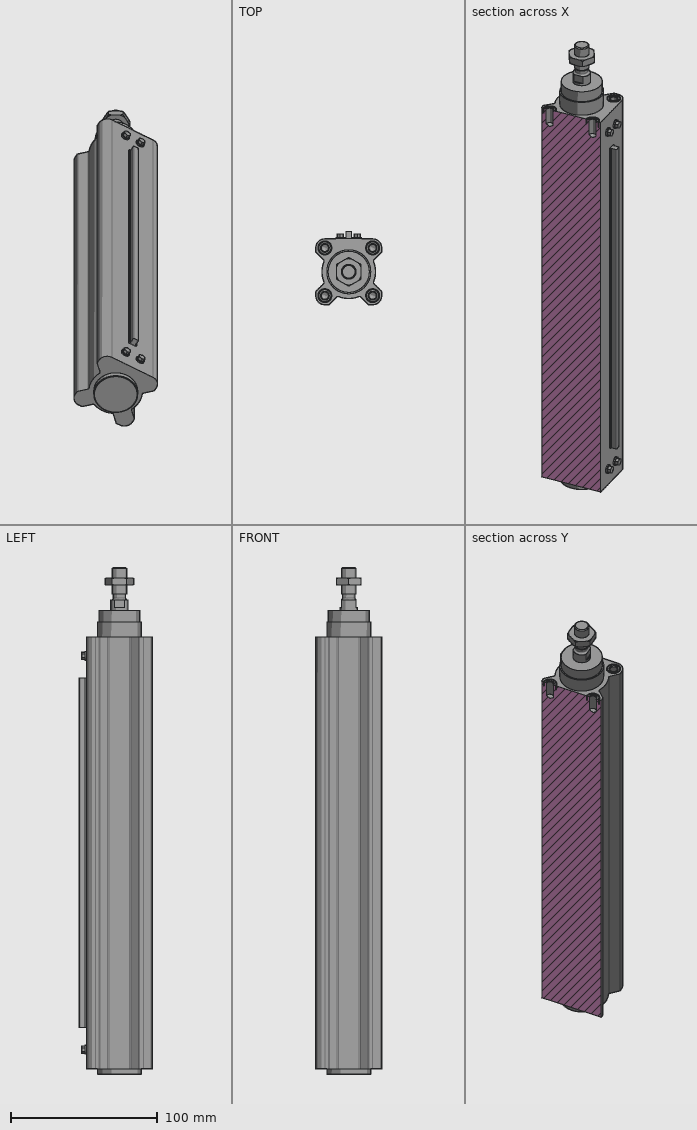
import cadquery as cq
import math


barrel_length = 294.0
barrel_width = 45.0
corner_radius = 6.25
waist_radius = 18.3
rib_gap = 26.8
rib_edge_fillet = 1.0
waist_fillet = 1.0

spigot_diameter = 30.0
bottom_spigot_height = 4.0
bottom_spigot_chamfer = 0.5
top_spigot_height = 10.2
collar_diameter = 28.0
collar_height = 7.8

bolt_recess_diameter = 9.5
bolt_recess_depth = 4.0
bolt_head_diameter = 9.0
bolt_head_chamfer = 0.4
bolt_hole_diameter = 4.92
bolt_hole_mouth_diameter = 6.0
bolt_hole_depth = 12.0
drill_point_angle = 118.0

rail_width = 4.0
rail_height = 5.0
rail_end_gap = 28.0
rail_fillet = 0.5
rail_base_width = 6.0
rail_base_height = 1.0
screw_spacing = 11.6
screw_end_gap = 13.0
screw_base_diameter = 6.0
screw_base_height = 1.0
screw_head_corners = 5.0
screw_height = 3.3

total_height = 345.1
rod_diameter = 12.0
rod_flat_width = 10.0
rod_flat_clearance = 1.8
neck_diameter = 8.57
neck_length = 4.0
neck_fillet = 1.2
thread_diameter = 10.0
thread_length = 22.0
thread_tip_chamfer = 0.7

nut_width = 17.0
nut_height = 5.0
nut_below_tip = 7.0
nut_face_diameter = 17.8
nut_chamfer_angle = 30.0

half_width = barrel_width / 2
bolt_pitch = barrel_width - 2 * corner_radius
collar_base = barrel_length + top_spigot_height
collar_top = collar_base + collar_height
rod_tip = total_height - bottom_spigot_height
shoulder_z = rod_tip - thread_length
nut_base = rod_tip - nut_below_tip - nut_height


def disc(diameter, bottom, height):
    """Upright cylinder on the rod axis."""
    return cq.Workplane("XY", origin=(0, 0, bottom)).circle(diameter / 2).extrude(height)


def flank_recess():
    """Cutter for the -Y flank: 45 degree rib flanks leading to the round waist."""
    half_gap = rib_gap / 2
    offset = half_width - half_gap
    meet_x = (math.sqrt(2 * waist_radius**2 - offset**2) - offset) / 2
    meet_y = meet_x + offset
    return (
        cq.Workplane("XY")
        .moveTo(-half_gap, -half_width)
        .lineTo(-meet_x, -meet_y)
        .threePointArc((0, -waist_radius), (meet_x, -meet_y))
        .lineTo(half_gap, -half_width)
        .close()
        .extrude(barrel_length)
        .edges("|Z and (not <Y)")
        .fillet(waist_fillet)
    )


def barrel():
    """Square barrel with a flat +Y face; the other three sides have a recessed flank."""
    body = (
        cq.Workplane("XY")
        .rect(barrel_width, barrel_width)
        .extrude(barrel_length)
        .edges("|Z")
        .fillet(corner_radius)
    )
    recess = flank_recess()
    for angle in (0, 90, -90):
        body = body.cut(recess.rotate((0, 0, 0), (0, 0, 1), angle))
    half_gap = rib_gap / 2
    rib_edges = [(sign * half_gap, -half_width) for sign in (-1, 1)]
    rib_edges += [(side * half_width, sign * half_gap) for side in (-1, 1) for sign in (-1, 1)]
    for x, y in rib_edges:
        edge = cq.selectors.NearestToPointSelector((x, y, barrel_length / 2))
        body = body.edges(edge).fillet(rib_edge_fillet)
    return body


def bolt_cavity():
    """Space around one bolt in a top face at Z = 0: the ring round its head and its blind hole."""
    recess = disc(bolt_recess_diameter, -bolt_recess_depth, bolt_recess_depth)
    head = disc(bolt_head_diameter, -bolt_recess_depth, bolt_recess_depth)
    head = head.faces(">Z").chamfer(bolt_head_chamfer)
    hole_radius = bolt_hole_diameter / 2
    mouth_radius = bolt_hole_mouth_diameter / 2
    mouth_depth = mouth_radius - hole_radius
    point_depth = hole_radius / math.tan(math.radians(drill_point_angle / 2))
    hole = (
        cq.Workplane("XZ")
        .moveTo(0, 0)
        .lineTo(mouth_radius, 0)
        .lineTo(hole_radius, -mouth_depth)
        .lineTo(hole_radius, -bolt_hole_depth)
        .lineTo(0, -bolt_hole_depth - point_depth)
        .close()
        .revolve(360, (0, 0, 0), (0, 1, 0))
    )
    return recess.cut(head).union(hole)


def rail_bar(width, height):
    """Bar along the middle of the flat face."""
    return (
        cq.Workplane("XY", origin=(0, half_width + height / 2, rail_end_gap))
        .rect(width, height)
        .extrude(barrel_length - 2 * rail_end_gap)
    )


def rail():
    """Narrow rail with rounded top edges on a low, wider base."""
    bar = rail_bar(rail_width, rail_height).edges("|Z and >Y").fillet(rail_fillet)
    return bar.union(rail_bar(rail_base_width, rail_base_height))


def cushion_screw(x, z):
    """Hexagon head on a round base, standing on the flat face with two corners along Z."""
    face = cq.Workplane("XZ", origin=(x, half_width, z))
    base = face.circle(screw_base_diameter / 2).extrude(-screw_base_height)
    head = face.transformed(rotate=(0, 0, 90)).polygon(6, screw_head_corners).extrude(-screw_height)
    return base.union(head)


def make_housing():
    body = barrel()
    bottom_spigot = disc(spigot_diameter, -bottom_spigot_height, bottom_spigot_height)
    body = body.union(bottom_spigot.faces("<Z").chamfer(bottom_spigot_chamfer))
    body = body.union(disc(spigot_diameter, barrel_length, top_spigot_height))
    body = body.union(disc(collar_diameter, collar_base, collar_height))
    cavity = bolt_cavity()
    for x in (-bolt_pitch / 2, bolt_pitch / 2):
        for y in (-bolt_pitch / 2, bolt_pitch / 2):
            body = body.cut(cavity.translate((x, y, barrel_length)))
    body = body.union(rail())
    for x in (-screw_spacing / 2, screw_spacing / 2):
        for z in (screw_end_gap, barrel_length - screw_end_gap):
            body = body.union(cushion_screw(x, z))
    return body


def make_rod():
    """Turned rod end standing on the collar, with two wrench flats facing X below the shoulder."""
    rod_radius = rod_diameter / 2
    neck_radius = neck_diameter / 2
    thread_radius = thread_diameter / 2
    thread_base = shoulder_z + neck_length
    rod = (
        cq.Workplane("XZ")
        .moveTo(0, collar_top)
        .lineTo(rod_radius, collar_top)
        .lineTo(rod_radius, shoulder_z)
        .lineTo(neck_radius + neck_fillet, shoulder_z)
        .radiusArc((neck_radius, shoulder_z + neck_fillet), neck_fillet)
        .lineTo(neck_radius, thread_base)
        .lineTo(thread_radius, thread_base)
        .lineTo(thread_radius, rod_tip - thread_tip_chamfer)
        .lineTo(thread_radius - thread_tip_chamfer, rod_tip)
        .lineTo(0, rod_tip)
        .close()
        .revolve(360, (0, 0, 0), (0, 1, 0))
    )
    flats_base = collar_top + rod_flat_clearance
    outside_flats = (
        cq.Workplane("XY", origin=(0, 0, flats_base))
        .rect(2 * rod_diameter, 2 * rod_diameter)
        .rect(rod_flat_width, rod_diameter)
        .extrude(thread_base - flats_base)
    )
    return rod.cut(outside_flats)


def make_nut():
    """Hexagon nut with two flats facing X and its corners chamfered at both ends."""
    corner_diameter = nut_width / math.cos(math.pi / 6)
    hexagon = (
        cq.Workplane("XY", origin=(0, 0, nut_base))
        .transformed(rotate=(0, 0, 30))
        .polygon(6, corner_diameter)
        .extrude(nut_height)
    )
    chamfer_width = (corner_diameter - nut_face_diameter) / 2
    chamfer_height = chamfer_width * math.tan(math.radians(nut_chamfer_angle))
    envelope = disc(corner_diameter, nut_base, nut_height).faces("|Z").chamfer(chamfer_height, chamfer_width)
    return hexagon.intersect(envelope).cut(disc(thread_diameter, nut_base, nut_height))


housing = make_housing()
rod = make_rod()
nut = make_nut()

result = cq.Compound.makeCompound([housing.val(), rod.val(), nut.val()])